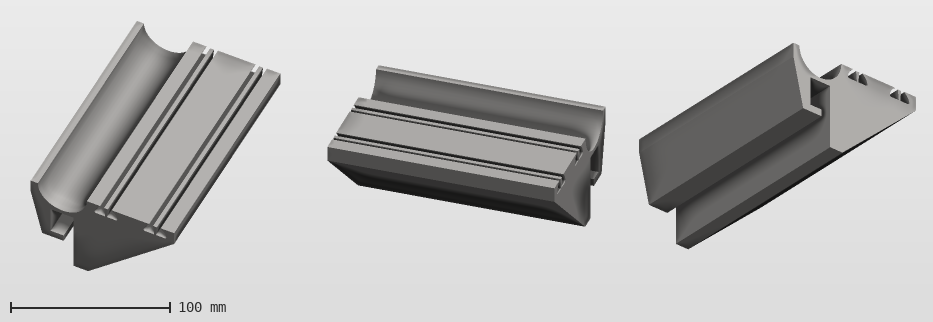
import cadquery as cq

width = 100.0
length = 150.0
height = 65.0

side_height = 10.0
foot_left = 30.0
foot_width = 10.0

hook_bottom = -45.0
hook_thickness = 5.0
hook_left = 8.0
hook_right = 23.0
slot_left = 14.0
slot_top = -20.0

trough_wall = 5.0
trough_radius = 17.1

first_groove_x = 52.5
groove_spacing = 34.2
groove_depth = 8.0
mouth_half_width = 4.0
lip_height = 0.5
groove_half_width = 8.0
flank_depth = 6.3
flank_bulge = 0.5
corner_inset = 1.0
corner_bulge = 0.3
fin_top_half_width = 1.4
fin_base_half_width = 0.6
fin_recess = 0.5


def extrude_profile(profile):
    """Extrude an XZ profile along +Y over the full length."""
    return profile.close().extrude(-length)


def make_body():
    return extrude_profile(
        cq.Workplane("XZ")
        .polyline([
            (0, 0),
            (width, 0),
            (width, -side_height),
            (foot_left + foot_width, -height),
            (foot_left, -height),
            (foot_left, slot_top),
            (slot_left, slot_top),
            (slot_left, hook_bottom + hook_thickness),
            (hook_right, hook_bottom + hook_thickness),
            (hook_right, hook_bottom),
            (hook_left, hook_bottom),
            (0, -side_height),
        ])
    )


def make_trough():
    center_x = trough_wall + trough_radius
    return cq.Workplane("XZ").center(center_x, 0).circle(trough_radius).extrude(-length)


def make_groove(center_x):
    flank_mid_x = (mouth_half_width + groove_half_width) / 2 + flank_bulge
    flank_mid_z = -(lip_height + flank_depth) / 2 + flank_bulge
    floor_half_width = groove_half_width - corner_inset
    corner_mid_x = (groove_half_width + floor_half_width) / 2 + corner_bulge
    corner_mid_z = -(flank_depth + groove_depth) / 2 - corner_bulge
    return extrude_profile(
        cq.Workplane("XZ")
        .center(center_x, 0)
        .moveTo(-mouth_half_width, 0)
        .lineTo(mouth_half_width, 0)
        .lineTo(mouth_half_width, -lip_height)
        .threePointArc((flank_mid_x, flank_mid_z), (groove_half_width, -flank_depth))
        .threePointArc((corner_mid_x, corner_mid_z), (floor_half_width, -groove_depth))
        .lineTo(-floor_half_width, -groove_depth)
        .threePointArc((-corner_mid_x, corner_mid_z), (-groove_half_width, -flank_depth))
        .threePointArc((-flank_mid_x, flank_mid_z), (-mouth_half_width, -lip_height))
    )


def make_fin(center_x):
    return extrude_profile(
        cq.Workplane("XZ")
        .center(center_x, 0)
        .polyline([
            (-fin_top_half_width, -fin_recess),
            (fin_top_half_width, -fin_recess),
            (fin_base_half_width, -groove_depth),
            (-fin_base_half_width, -groove_depth),
        ])
    )


result = make_body().cut(make_trough())
for groove_x in (first_groove_x, first_groove_x + groove_spacing):
    result = result.cut(make_groove(groove_x).cut(make_fin(groove_x)))